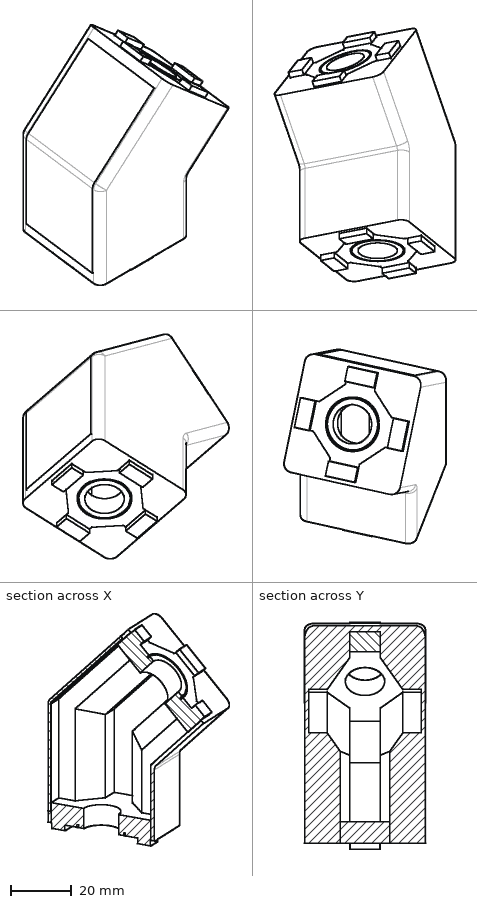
import cadquery as cq
import math

width = 40.0
half_width = width / 2
bend_angle = 45.0
inner_leg = 26.0
edge_radius = 3.0
inner_bend_diameter = 4.0
half_turn_tangent = math.tan(math.radians(bend_angle / 2))
leg_length = inner_leg + half_width * half_turn_tangent

arm_count = 4
arm_reach = 18.5
arm_half_width = 5.0
slant_reach = 12.45

connector_depth = 7.2
tab_length = 5.0
tab_height = 1.95
bore_diameter = 13.0
groove_inner_diameter = 17.0
groove_outer_diameter = 18.0
groove_depth = 1.0

cover_width = 33.0
cover_thickness = 1.0
cover_end_margin = 4.1

bottom_end = cq.Plane(origin=(0, 0, 0), xDir=(1, 0, 0), normal=(0, 0, -1))
tilt_y = math.sin(math.radians(bend_angle))
tilt_z = math.cos(math.radians(bend_angle))
top_end = cq.Plane(
    origin=(0, leg_length * tilt_y, leg_length * (1 + tilt_z)),
    xDir=(1, 0, 0),
    normal=(0, tilt_y, tilt_z),
)


def elbow_point(offset, end_margin=0.0):
    """Start, bend and end points (y, z) of the elbow path shifted by offset toward +Y."""
    bend = (offset, leg_length - offset * half_turn_tangent)
    straight = bend[1] - end_margin
    start = (offset, end_margin)
    end = (bend[0] + straight * tilt_y, bend[1] + straight * tilt_z)
    return [start, bend, end]


def elbow_slab(front, rear, slab_width, end_margin=0.0):
    """Bent slab between two offsets of the elbow path, centred on X."""
    outline = elbow_point(front, end_margin) + elbow_point(rear, end_margin)[::-1]
    return cq.Workplane("YZ").polyline(outline).close().extrude(slab_width / 2, both=True)


def cross_outline(plane):
    """Cross with four arms joined by slanted sides."""
    corner = [(arm_reach, arm_half_width), (slant_reach, arm_half_width),
              (arm_half_width, slant_reach), (arm_half_width, arm_reach)]
    points = []
    for turn in range(arm_count):
        angle = math.radians(360 * turn / arm_count)
        points += [
            (x * math.cos(angle) - y * math.sin(angle), x * math.sin(angle) + y * math.cos(angle))
            for x, y in corner
        ]
    return cq.Workplane(plane).polyline(points).close()


def bend_edge(offset):
    """Selector for the edge along X where the elbow bends, at an offset of its path."""
    return cq.selectors.NearestToPointSelector((0, *elbow_point(offset)[1]))


def make_outer_block():
    """Elbow with rounded bends and rounded edges along its legs; the two ends stay sharp."""
    block = elbow_slab(-half_width, half_width, width)
    block = block.edges(bend_edge(half_width)).fillet(inner_bend_diameter / 2)
    side_edges = block.edges("(<X or >X) and (not |Y) and (not |(0,-1,1))")
    return side_edges.add(block.edges(bend_edge(-half_width))).fillet(edge_radius)


def leg_region(first, last):
    """Oversized slab around one leg, between two stations of the elbow path."""
    front = elbow_point(-width)
    rear = elbow_point(width)
    outline = [front[first], front[last], rear[last], rear[first]]
    return cq.Workplane("YZ").polyline(outline).close().extrude(width, both=True)


def make_channel():
    """Cross-shaped channel that runs from end to end and is mitred at the bend."""
    reach = 2 * leg_length
    lower_leg = cross_outline(bottom_end).extrude(-reach).intersect(leg_region(0, 1))
    upper_leg = cross_outline(top_end).extrude(-reach).intersect(leg_region(1, 2))
    return lower_leg.union(upper_leg)


def make_connector(plane):
    """Cross-shaped plug, flush with the housing end, with four raised tabs and a grooved bore."""
    connector = cross_outline(plane).extrude(-connector_depth)
    tab_centre = arm_reach - tab_length / 2
    tabs = (
        cq.Workplane(plane)
        .polarArray(tab_centre, 0, 360, arm_count)
        .rect(tab_length, 2 * arm_half_width)
        .extrude(tab_height)
    )
    bore = cq.Workplane(plane).circle(bore_diameter / 2).extrude(-connector_depth)
    groove = (
        cq.Workplane(plane)
        .circle(groove_outer_diameter / 2)
        .circle(groove_inner_diameter / 2)
        .extrude(-groove_depth)
    )
    return connector.union(tabs).cut(bore).cut(groove)


outer_block = make_outer_block()
cover = outer_block.intersect(
    elbow_slab(-half_width, cover_thickness - half_width, cover_width, cover_end_margin)
)

housing = outer_block.cut(make_channel()).cut(cover)

connectors = [make_connector(plane) for plane in (bottom_end, top_end)]

result = cq.Compound.makeCompound(
    [housing.val(), cover.val(), *[connector.val() for connector in connectors]]
)